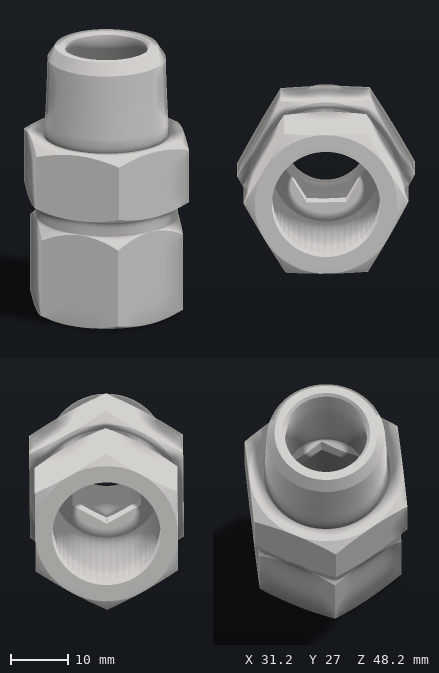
import cadquery as cq
import math

total_height = 48.2
base_hex_height = 17.05
skirt_gap = 0.15
nut_hex_bottom = 20.0
nut_top = 32.1
spigot_top = 26.0
flange_top = 28.9
taper_start = 34.2
taper_end = 46.05

base_across_flats = 25.0
spigot_diameter = 23.5
base_bore_diameter = 19.0
base_top_chamfer_angle = 45.0

nut_across_flats = 27.0
nut_skirt_diameter = 25.0
nut_bore_diameter = 22.0
nut_mouth_diameter = 22.6
wrench_chamfer_angle = 30.0

flange_diameter = spigot_diameter
nipple_diameter = 21.7
taper_tip_diameter = 20.75
nipple_tip_diameter = 18.0
nipple_bore_diameter = 14.5
nipple_mouth_diameter = 15.45
key_across_flats = 12.0
key_socket_height = 2.9
bore_floor_angle = 30.0


def hexagon(across_flats, bottom, height):
    """Hexagonal prism with corners on the X axis and flats facing Y."""
    across_corners = across_flats / math.cos(math.radians(30))
    return cq.Workplane("XY").workplane(offset=bottom).polygon(6, across_corners).extrude(height)


def cylinder(diameter, bottom, top):
    return cq.Workplane("XY").workplane(offset=bottom).circle(diameter / 2).extrude(top - bottom)


def revolve_profile(points):
    """Solid of revolution about Z from (radius, height) points."""
    return cq.Workplane("XZ").polyline(points).close().revolve(360, (0, 0), (0, 1))


def chamfered_hexagon(across_flats, bottom, top, bottom_angle, top_angle):
    """Hexagonal prism whose corners are turned off conically, down to the inscribed circle at each end."""
    flat_radius = across_flats / 2
    corner_radius = flat_radius / math.cos(math.radians(30))
    corner_depth = corner_radius - flat_radius
    bottom_drop = corner_depth * math.tan(math.radians(bottom_angle))
    top_drop = corner_depth * math.tan(math.radians(top_angle))
    envelope = revolve_profile([
        (0, bottom),
        (flat_radius, bottom),
        (corner_radius, bottom + bottom_drop),
        (corner_radius, top - top_drop),
        (flat_radius, top),
        (0, top),
    ])
    return hexagon(across_flats, bottom, top - bottom).intersect(envelope)


def make_base():
    body = chamfered_hexagon(
        base_across_flats, 0, base_hex_height, wrench_chamfer_angle, base_top_chamfer_angle
    )
    body = body.union(cylinder(spigot_diameter, base_hex_height, spigot_top))
    return body.cut(cylinder(base_bore_diameter, 0, spigot_top))


def make_nut():
    body = chamfered_hexagon(
        nut_across_flats, nut_hex_bottom, nut_top, wrench_chamfer_angle, wrench_chamfer_angle
    )
    skirt_bottom = base_hex_height + skirt_gap
    body = body.union(cylinder(nut_skirt_diameter, skirt_bottom, nut_hex_bottom))
    body = body.cut(cylinder(spigot_diameter, skirt_bottom, flange_top))
    bore_radius = nut_bore_diameter / 2
    mouth_radius = nut_mouth_diameter / 2
    bore = revolve_profile([
        (0, flange_top),
        (bore_radius, flange_top),
        (bore_radius, nut_top - (mouth_radius - bore_radius)),
        (mouth_radius, nut_top),
        (0, nut_top),
    ])
    return body.cut(bore)


def make_tailpiece():
    body = revolve_profile([
        (0, spigot_top),
        (flange_diameter / 2, spigot_top),
        (flange_diameter / 2, flange_top),
        (nipple_diameter / 2, flange_top),
        (nipple_diameter / 2, taper_start),
        (taper_tip_diameter / 2, taper_end),
        (nipple_tip_diameter / 2, total_height),
        (0, total_height),
    ])
    bore_radius = nipple_bore_diameter / 2
    mouth_radius = nipple_mouth_diameter / 2
    key_flat_radius = key_across_flats / 2
    socket_top = spigot_top + key_socket_height
    floor_rise = (bore_radius - key_flat_radius) * math.tan(math.radians(bore_floor_angle))
    bore = revolve_profile([
        (0, socket_top),
        (key_flat_radius, socket_top),
        (bore_radius, socket_top + floor_rise),
        (bore_radius, total_height - (mouth_radius - bore_radius)),
        (mouth_radius, total_height),
        (0, total_height),
    ])
    key_socket = hexagon(key_across_flats, spigot_top, total_height - spigot_top)
    return body.cut(bore).cut(key_socket)


base = make_base()
nut = make_nut()
tailpiece = make_tailpiece()

result = cq.Compound.makeCompound([base.val(), nut.val(), tailpiece.val()])